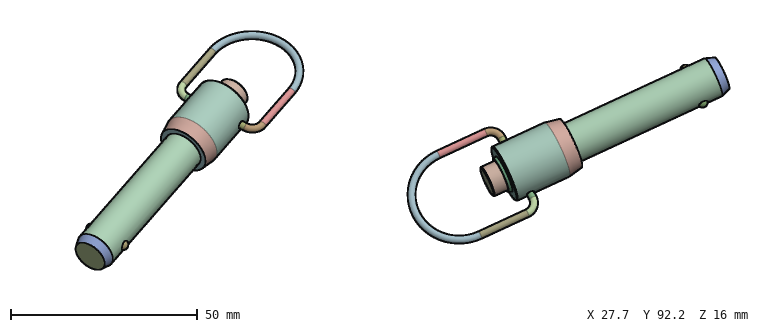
import cadquery as cq

total_length = 92.2

shank_radius = 5.6
tip_radius = 4.7
tip_chamfer_length = 2.6

ball_radius = 1.5
ball_reach = 6.55
ball_y = 8.3

handle_radius = 8.0
handle_front_radius = 7.2
handle_front_y = 45.1
handle_taper_length = 4.15
handle_back_y = 65.0
handle_edge_chamfer = 0.3

collar_base_radius = 5.3
collar_height = 0.9
collar_top_radius = 4.9
button_radius = 4.3
button_back_y = 70.1
button_edge_chamfer = 0.3

wire_radius = 1.1
ring_width = 27.7
bend_radius = 3.2
ring_foot_y = 61.0
ring_foot_depth = 1.8


def make_body():
    """Revolve the shank, handle, collar and button about the Y axis."""
    collar_back_y = handle_back_y + collar_height
    profile = [
        (0, 0),
        (tip_radius, 0),
        (shank_radius, tip_chamfer_length),
        (shank_radius, handle_front_y),
        (handle_front_radius, handle_front_y),
        (handle_radius, handle_front_y + handle_taper_length),
        (handle_radius, handle_back_y - handle_edge_chamfer),
        (handle_radius - handle_edge_chamfer, handle_back_y),
        (collar_base_radius, handle_back_y),
        (collar_top_radius, collar_back_y),
        (button_radius, collar_back_y),
        (button_radius, button_back_y - button_edge_chamfer),
        (button_radius - button_edge_chamfer, button_back_y),
        (0, button_back_y),
    ]
    return cq.Workplane("XY").polyline(profile).close().revolve(360, (0, 0, 0), (0, 1, 0))


def make_ball(side):
    """Locking ball on one side of the shank (side is -1 or 1)."""
    center_x = side * (ball_reach - ball_radius)
    return cq.Workplane("XY").sphere(ball_radius).translate((center_x, ball_y, 0))


def make_ring():
    """Sweep the wire along a U whose two feet turn inward into the handle."""
    leg_x = ring_width / 2 - wire_radius
    arch_start_y = total_length - ring_width / 2
    bend_end_y = ring_foot_y + bend_radius
    bend_x = leg_x - bend_radius
    foot_x = handle_radius - ring_foot_depth
    path = (
        cq.Workplane("XY")
        .moveTo(-foot_x, ring_foot_y)
        .lineTo(-bend_x, ring_foot_y)
        .tangentArcPoint((-leg_x, bend_end_y), relative=False)
        .lineTo(-leg_x, arch_start_y)
        .threePointArc((0, total_length - wire_radius), (leg_x, arch_start_y))
        .lineTo(leg_x, bend_end_y)
        .tangentArcPoint((bend_x, ring_foot_y), relative=False)
        .lineTo(foot_x, ring_foot_y)
    )
    wire_section = cq.Workplane("YZ", origin=(-foot_x, ring_foot_y, 0)).circle(wire_radius)
    return wire_section.sweep(path)


result = make_body().union(make_ring())
for ball_side in (-1, 1):
    result = result.union(make_ball(ball_side))